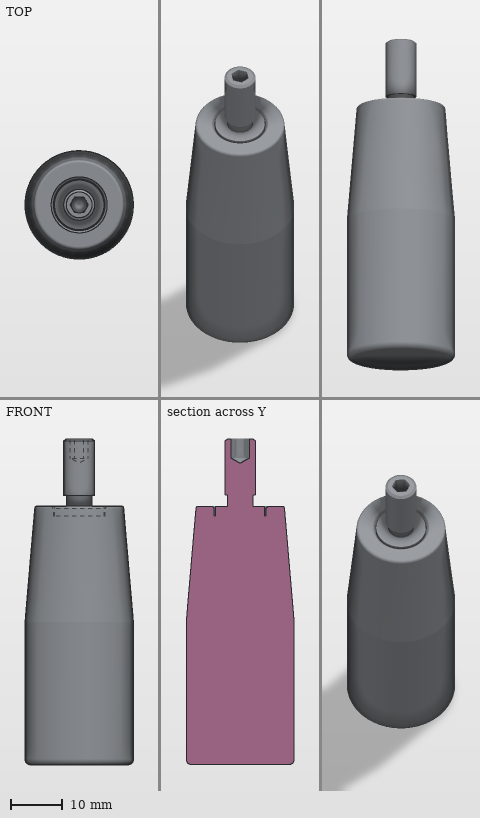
import cadquery as cq
import math

total_height = 63.1
grip_diameter = 21.0
grip_height = 50.1
straight_height = 27.6
grip_top_diameter = 17.15
bottom_round = 1.1
top_round = 0.5

stud_diameter = 6.0
stud_tip_diameter = 5.0
stud_chamfer_height = 0.4
neck_diameter = 5.0
neck_height = 2.1

bore_diameter = 10.0
bore_mouth_diameter = 10.85
spindle_diameter = 9.6
gap_depth = 1.9

hex_across_flats = 3.0
socket_depth = 3.8
pilot_diameter = 3.1
pilot_cone_angle = 120.0


def make_grip():
    """Cylinder with a tapered upper part and rounded ends."""
    grip = (
        cq.Workplane("XZ")
        .lineTo(grip_diameter / 2, 0)
        .lineTo(grip_diameter / 2, straight_height)
        .lineTo(grip_top_diameter / 2, grip_height)
        .lineTo(0, grip_height)
        .close()
        .revolve(360, (0, 0), (0, 1))
    )
    return grip.faces("<Z").edges().fillet(bottom_round).faces(">Z").edges().fillet(top_round)


def make_gap():
    """Ring-shaped gap around the spindle, with a 45 degree mouth."""
    mouth_chamfer = (bore_mouth_diameter - bore_diameter) / 2
    return (
        cq.Workplane("XZ")
        .moveTo(spindle_diameter / 2, grip_height)
        .lineTo(bore_mouth_diameter / 2, grip_height)
        .lineTo(bore_diameter / 2, grip_height - mouth_chamfer)
        .lineTo(bore_diameter / 2, grip_height - gap_depth)
        .lineTo(spindle_diameter / 2, grip_height - gap_depth)
        .close()
        .revolve(360, (0, 0), (0, 1))
    )


def make_stud():
    """Undercut neck and stud with a chamfered tip."""
    neck_top = grip_height + neck_height
    return (
        cq.Workplane("XZ")
        .moveTo(0, grip_height)
        .lineTo(neck_diameter / 2, grip_height)
        .lineTo(neck_diameter / 2, neck_top)
        .lineTo(stud_diameter / 2, neck_top)
        .lineTo(stud_diameter / 2, total_height - stud_chamfer_height)
        .lineTo(stud_tip_diameter / 2, total_height)
        .lineTo(0, total_height)
        .close()
        .revolve(360, (0, 0), (0, 1))
    )


def make_socket():
    """Hexagon socket, corners along X, broached over a slightly wider pilot hole with a conical floor."""
    floor = total_height - socket_depth
    pilot_radius = pilot_diameter / 2
    cone_depth = pilot_radius / math.tan(math.radians(pilot_cone_angle / 2))
    across_corners = hex_across_flats / math.cos(math.radians(30))
    hexagon = (
        cq.Workplane("XY", origin=(0, 0, floor))
        .polygon(6, across_corners)
        .extrude(socket_depth)
    )
    pilot = (
        cq.Workplane("XZ")
        .moveTo(0, total_height)
        .lineTo(pilot_radius, total_height)
        .lineTo(pilot_radius, floor)
        .lineTo(0, floor - cone_depth)
        .close()
        .revolve(360, (0, 0), (0, 1))
    )
    return hexagon.union(pilot)


result = make_grip().cut(make_gap()).union(make_stud()).cut(make_socket())